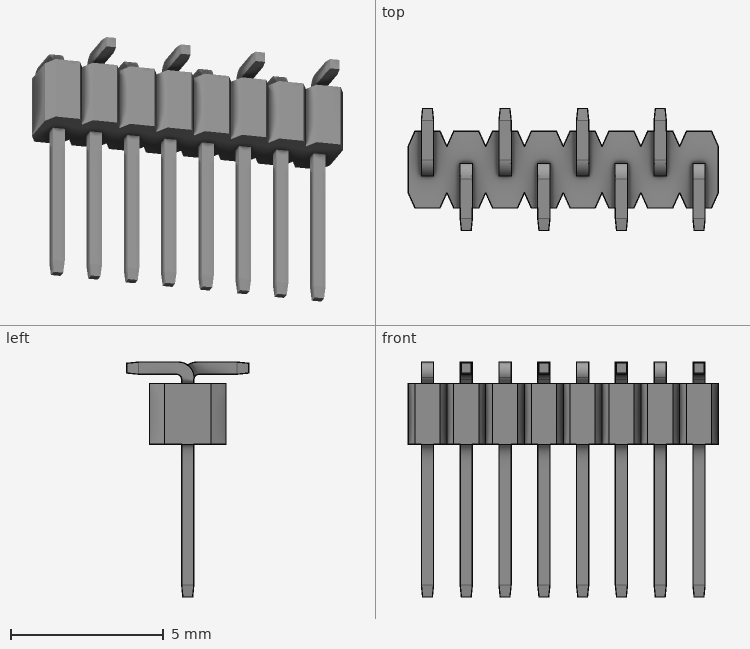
import cadquery as cq

pin_count = 8
pitch = 1.27
pin_width = 0.41
tip_width = 0.33
tip_length = 0.4
pin_below_body = 5.0
arm_reach = 2.0
arm_height = 0.7
outer_bend_radius = 0.51
inner_bend_radius = 0.17

body_length = pin_count * pitch
body_depth = 2.52
body_height = 2.0
notch_depth = 0.5
notch_half_width = 0.22
arm_top = body_height + arm_height

half_depth = body_depth / 2
half_pin = pin_width / 2


def cell_center(index):
    """X position of one pin and its cell of the body."""
    return (index + 0.5) * pitch - body_length / 2


def make_body():
    """Row of chamfered cells; neighbouring chamfers meet as V notches."""
    waist = half_depth - notch_depth
    front_edge = []
    for index in range(pin_count):
        left = cell_center(index) - pitch / 2
        right = left + pitch
        front_edge += [
            (left, -waist),
            (left + notch_half_width, -half_depth),
            (right - notch_half_width, -half_depth),
        ]
    front_edge.append((body_length / 2, -waist))
    back_edge = [(x, -y) for x, y in reversed(front_edge)]
    return cq.Workplane("XY").polyline(front_edge + back_edge).close().extrude(body_height)


def make_tip(base_plane):
    """Square tip tapering away from the given plane."""
    return (
        cq.Workplane(base_plane)
        .rect(pin_width, pin_width)
        .workplane(offset=tip_length)
        .rect(tip_width, tip_width)
        .loft(ruled=True)
    )


def make_pin():
    """Pin on the Z axis with its upper end bent toward -Y."""
    shaft_bottom = tip_length - pin_below_body
    arm_end = tip_length - arm_reach
    arm_bottom = arm_top - pin_width
    shaft = (
        cq.Workplane("YZ")
        .moveTo(-half_pin, shaft_bottom)
        .lineTo(half_pin, shaft_bottom)
        .lineTo(half_pin, arm_top - outer_bend_radius)
        .radiusArc((half_pin - outer_bend_radius, arm_top), -outer_bend_radius)
        .lineTo(arm_end, arm_top)
        .lineTo(arm_end, arm_bottom)
        .lineTo(-half_pin - inner_bend_radius, arm_bottom)
        .radiusArc((-half_pin, arm_bottom - inner_bend_radius), inner_bend_radius)
        .close()
        .extrude(half_pin, both=True)
    )
    lower_tip = make_tip(cq.Plane((0, 0, shaft_bottom), xDir=(1, 0, 0), normal=(0, 0, -1)))
    arm_center = (0, arm_end, arm_top - half_pin)
    arm_tip = make_tip(cq.Plane(arm_center, xDir=(1, 0, 0), normal=(0, -1, 0)))
    return shaft.union(lower_tip).union(arm_tip)


front_pin = make_pin()
back_pin = front_pin.rotate((0, 0, 0), (0, 0, 1), 180)
result = make_body()
for index in range(pin_count):
    pin = back_pin if index % 2 == 0 else front_pin
    result = result.union(pin.translate((cell_center(index), 0, 0)))